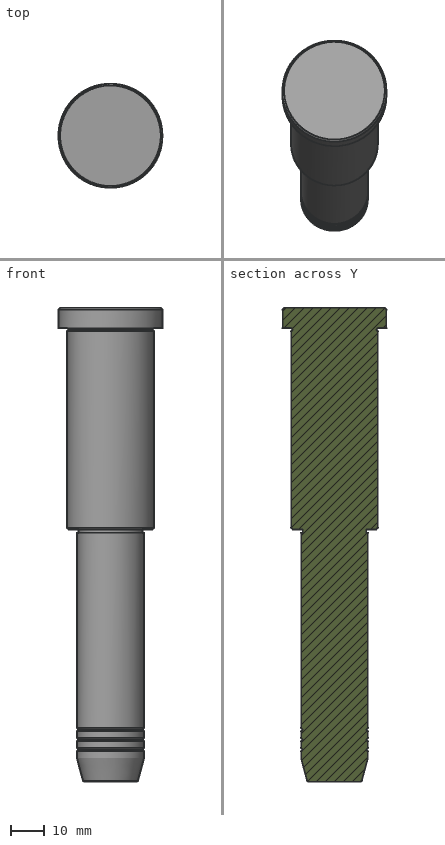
import cadquery as cq
import math

total_length = 141.0
head_diameter = 31.0
body_diameter = 26.0
pin_diameter = 20.0

head_height = 6.0
head_and_body_length = 66.0
tip_length = 7.0
tip_angle = 15.0

head_chamfer = 0.5
body_chamfer = 0.5
tip_chamfer = 0.3

relief_width = 1.0
relief_depth = 0.4

groove_count = 3
groove_width = 1.0
groove_pitch = 3.0
lowest_groove_z = tip_length + 2.5

head_bottom_z = total_length - head_height
body_bottom_z = total_length - head_and_body_length
tip_diameter = pin_diameter - 2 * tip_length * math.tan(math.radians(tip_angle))


def cylinder(diameter, bottom_z, top_z):
    """Solid cylinder on the Z axis."""
    return cq.Workplane("XY").workplane(offset=bottom_z).circle(diameter / 2).extrude(top_z - bottom_z)


def ring_cutter(outer_diameter, depth, bottom_z, width):
    """Ring that cuts a groove of the given depth into a cylinder."""
    outer = cylinder(outer_diameter, bottom_z, bottom_z + width)
    core = cylinder(outer_diameter - 2 * depth, bottom_z, bottom_z + width)
    return outer.cut(core)


def v_ring_cutter(outer_diameter, middle_z, width):
    """Ring that cuts a V-groove with 45 degree flanks into a cylinder."""
    radius = outer_diameter / 2
    half_width = width / 2
    section = [
        (radius - half_width, middle_z),
        (radius, middle_z + half_width),
        (radius, middle_z - half_width),
    ]
    return cq.Workplane("XZ").polyline(section).close().revolve(360, (0, 0, 0), (0, 1, 0))


head = cylinder(head_diameter, head_bottom_z, total_length).faces(">Z").chamfer(head_chamfer)
body = cylinder(body_diameter, body_bottom_z, head_bottom_z).faces("<Z").chamfer(body_chamfer)
pin = cylinder(pin_diameter, tip_length, body_bottom_z)

tip = (
    cq.Workplane("XY")
    .circle(tip_diameter / 2)
    .workplane(offset=tip_length)
    .circle(pin_diameter / 2)
    .loft(ruled=True)
    .faces("<Z")
    .chamfer(tip_chamfer)
)

result = head.union(body).union(pin).union(tip)

result = result.cut(ring_cutter(pin_diameter, relief_depth, body_bottom_z - relief_width, relief_width))

result = result.cut(v_ring_cutter(body_diameter, head_bottom_z - relief_width / 2, relief_width))

for index in range(groove_count):
    groove_z = lowest_groove_z + index * groove_pitch
    result = result.cut(v_ring_cutter(pin_diameter, groove_z, groove_width))